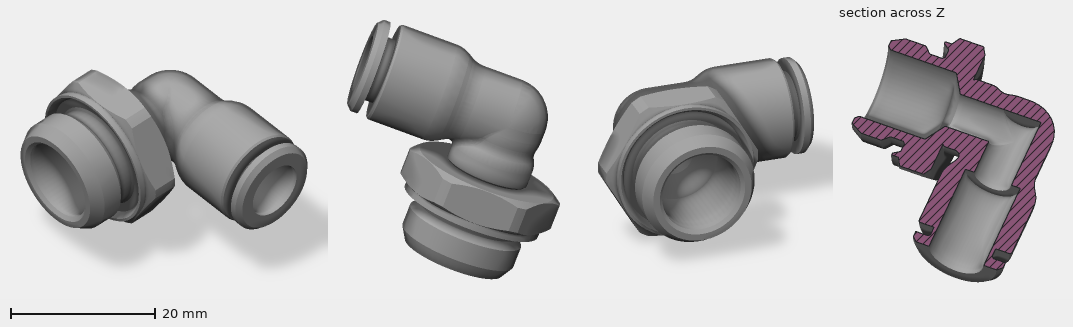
import cadquery as cq
import math


elbow_radius = 5.5
crotch_fillet = 0.85
bore_radius = 5.5 / 2

neck_radius = 11.8 / 2
neck_waist_radius = 5.3
neck_flare_radius = 5.5
neck_blend_start_y = -1.57
neck_blend_step = 1.47
neck_chamfer = 0.25

hex_across_flats = 20.0
hex_corner_radius = 11.15
hex_top_y = -8.48
hex_height = 4.98
hex_chamfer_radius = 9.92
hex_chamfer_angle = 30
hex_sides = 6
hex_bottom_y = hex_top_y - hex_height

flange_radius = 19.8 / 2
flange_height = 1.0
recess_mouth_radius = 9.53
recess_floor_radius = 8.85
recess_depth = 0.95
undercut_flare = 0.3
flange_bottom_y = hex_bottom_y - flange_height

undercut_radius = 14.5 / 2
undercut_end_y = -15.7
thread_radius = 16.5 / 2
thread_end_y = -21.5
thread_lead_in = 0.98
thread_tip_radius = 7.2
thread_tip_height = 1.77

stem_bore_radius = 11.5 / 2
stem_bore_mouth_radius = 6.25
stem_bore_bottom_y = -11.15
bore_cone_height = 1.8

branch_radius = 14.0 / 2
branch_blend_start_x = 5.55
branch_cone_angle = 30
concave_length = 1.95
cone_length = 0.7
convex_length = 2.05
cone_start_x = branch_blend_start_x + concave_length
cone_end_x = cone_start_x + cone_length
branch_end_x = 18.5
branch_end_chamfer_length = 0.3
branch_end_chamfer_height = 0.2

collar_neck_radius = 9.3 / 2
collar_radius = 13.5 / 2
collar_back_x = 20.0
collar_end_x = 21.6
collar_chamfer = 0.7
collar_root_chamfer = 0.25
socket_radius = 8.15 / 2


def make_neck():
    """Solid round neck above the hexagon."""
    waist_y = neck_blend_start_y - neck_blend_step
    flare_y = waist_y - neck_blend_step
    blend_end_y = flare_y - neck_blend_step
    profile = (
        cq.Workplane("XY")
        .lineTo(elbow_radius, 0)
        .lineTo(elbow_radius, neck_blend_start_y)
        .tangentArcPoint((neck_waist_radius, waist_y), relative=False)
        .tangentArcPoint((neck_flare_radius, flare_y), relative=False)
        .tangentArcPoint((neck_radius, blend_end_y), relative=False)
        .lineTo(neck_radius, hex_top_y + neck_chamfer)
        .lineTo(neck_radius - neck_chamfer, hex_top_y)
        .lineTo(0, hex_top_y)
        .close()
    )
    return profile.revolve(360, (0, 0, 0), (0, 1, 0))


def make_branch():
    """Solid branch body, widening through two arcs and a cone."""
    arc_rise = math.tan(math.radians(branch_cone_angle / 2))
    cone_start_radius = elbow_radius + concave_length * arc_rise
    cone_end_radius = branch_radius - convex_length * arc_rise
    profile = (
        cq.Workplane("XY")
        .lineTo(0, elbow_radius)
        .lineTo(branch_blend_start_x, elbow_radius)
        .tangentArcPoint((cone_start_x, cone_start_radius), relative=False)
        .lineTo(cone_end_x, cone_end_radius)
        .tangentArcPoint((cone_end_x + convex_length, branch_radius), relative=False)
        .lineTo(branch_end_x - branch_end_chamfer_length, branch_radius)
        .lineTo(branch_end_x, branch_radius - branch_end_chamfer_height)
        .lineTo(branch_end_x, 0)
        .close()
    )
    return profile.revolve(360, (0, 0, 0), (1, 0, 0))


def make_elbow():
    """Neck and branch joined by a ball corner, with the inner mitre filleted."""
    ball_corner = cq.Workplane("XY").sphere(elbow_radius)
    elbow = make_neck().union(make_branch()).union(ball_corner)
    return elbow.edges("%ELLIPSE or %BSPLINE").fillet(crotch_fillet)


def make_collar():
    """Release collar with its narrow neck."""
    profile = (
        cq.Workplane("XY")
        .moveTo(branch_end_x, 0)
        .lineTo(branch_end_x, collar_neck_radius)
        .lineTo(collar_back_x - collar_root_chamfer, collar_neck_radius)
        .lineTo(collar_back_x, collar_neck_radius + collar_root_chamfer)
        .lineTo(collar_back_x, collar_radius)
        .lineTo(collar_end_x - collar_chamfer, collar_radius)
        .lineTo(collar_end_x, collar_radius - collar_chamfer)
        .lineTo(collar_end_x, 0)
        .close()
    )
    return profile.revolve(360, (0, 0, 0), (1, 0, 0))


def make_hexagon():
    """Hexagon with corners on X, trimmed by a round blank chamfered at both ends."""
    chamfer_width = hex_corner_radius - hex_chamfer_radius
    chamfer_height = chamfer_width * math.tan(math.radians(hex_chamfer_angle))
    corner_diameter = hex_across_flats / math.cos(math.pi / hex_sides)
    prism = (
        cq.Workplane("XZ", origin=(0, hex_top_y, 0))
        .polygon(hex_sides, corner_diameter)
        .extrude(hex_height)
    )
    blank = (
        cq.Workplane("XY")
        .moveTo(0, hex_top_y)
        .lineTo(hex_chamfer_radius, hex_top_y)
        .lineTo(hex_corner_radius, hex_top_y - chamfer_height)
        .lineTo(hex_corner_radius, hex_bottom_y + chamfer_height)
        .lineTo(hex_chamfer_radius, hex_bottom_y)
        .lineTo(0, hex_bottom_y)
        .close()
        .revolve(360, (0, 0, 0), (0, 1, 0))
    )
    return prism.intersect(blank)


def make_threaded_end():
    """Recessed flange, undercut and plain thread cylinder below the hexagon."""
    recess_floor_y = flange_bottom_y + recess_depth
    profile = (
        cq.Workplane("XY")
        .moveTo(0, hex_bottom_y)
        .lineTo(flange_radius, hex_bottom_y)
        .lineTo(flange_radius, flange_bottom_y)
        .lineTo(recess_mouth_radius, flange_bottom_y)
        .lineTo(recess_floor_radius, recess_floor_y)
        .lineTo(undercut_radius + undercut_flare, recess_floor_y)
        .lineTo(undercut_radius, recess_floor_y - undercut_flare)
        .lineTo(undercut_radius, undercut_end_y)
        .lineTo(thread_radius, undercut_end_y - thread_lead_in)
        .lineTo(thread_radius, thread_end_y + thread_tip_height)
        .lineTo(thread_tip_radius, thread_end_y)
        .lineTo(0, thread_end_y)
        .close()
    )
    return profile.revolve(360, (0, 0, 0), (0, 1, 0))


def make_stem_bore():
    """Wide bore with a chamfered mouth, coned down to the narrow bore that ends at the elbow."""
    mouth_chamfer = stem_bore_mouth_radius - stem_bore_radius
    profile = (
        cq.Workplane("XY")
        .lineTo(bore_radius, 0)
        .lineTo(bore_radius, stem_bore_bottom_y + bore_cone_height)
        .lineTo(stem_bore_radius, stem_bore_bottom_y)
        .lineTo(stem_bore_radius, thread_end_y + mouth_chamfer)
        .lineTo(stem_bore_mouth_radius, thread_end_y)
        .lineTo(0, thread_end_y)
        .close()
    )
    return profile.revolve(360, (0, 0, 0), (0, 1, 0))


def make_branch_bore():
    """Narrow bore from the elbow, opening into the tube socket where the body is wide enough."""
    narrow = (
        cq.Workplane("YZ", origin=(-bore_radius, 0, 0))
        .circle(bore_radius)
        .extrude(bore_radius + cone_end_x)
    )
    socket = (
        cq.Workplane("YZ", origin=(cone_end_x, 0, 0))
        .circle(socket_radius)
        .extrude(collar_end_x - cone_end_x)
    )
    return narrow.union(socket)


result = (
    make_elbow()
    .union(make_collar())
    .union(make_hexagon())
    .union(make_threaded_end())
    .cut(make_stem_bore())
    .cut(make_branch_bore())
)